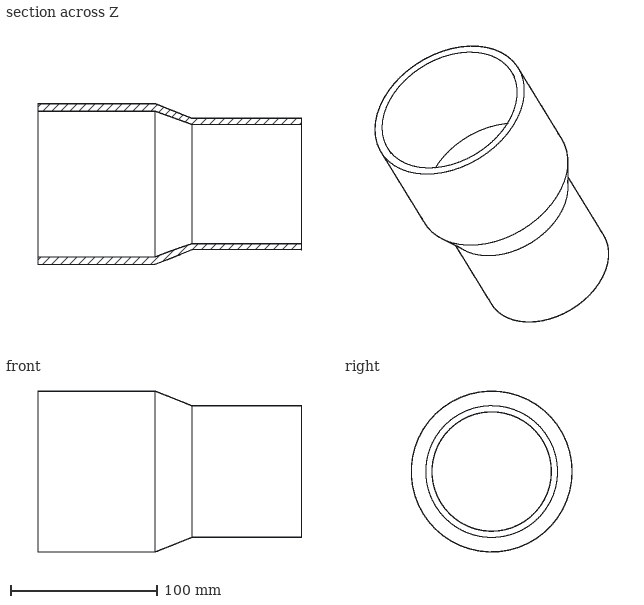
import cadquery as cq

total_length = 180.0
wide_length = 80.1
taper_length = 25.0
wide_outer_diameter = 110.0
wide_inner_diameter = 99.4
narrow_outer_diameter = 90.0
narrow_inner_diameter = 81.4

taper_end = wide_length + taper_length


def stepped_body(wide_diameter, narrow_diameter):
    """Solid of revolution about X: wide cylinder, cone, narrow cylinder."""
    wide_radius = wide_diameter / 2
    narrow_radius = narrow_diameter / 2
    return (
        cq.Workplane("XY")
        .lineTo(0, wide_radius)
        .lineTo(wide_length, wide_radius)
        .lineTo(taper_end, narrow_radius)
        .lineTo(total_length, narrow_radius)
        .lineTo(total_length, 0)
        .close()
        .revolve(360, (0, 0, 0), (1, 0, 0))
    )


outer_body = stepped_body(wide_outer_diameter, narrow_outer_diameter)
bore = stepped_body(wide_inner_diameter, narrow_inner_diameter)
result = outer_body.cut(bore)